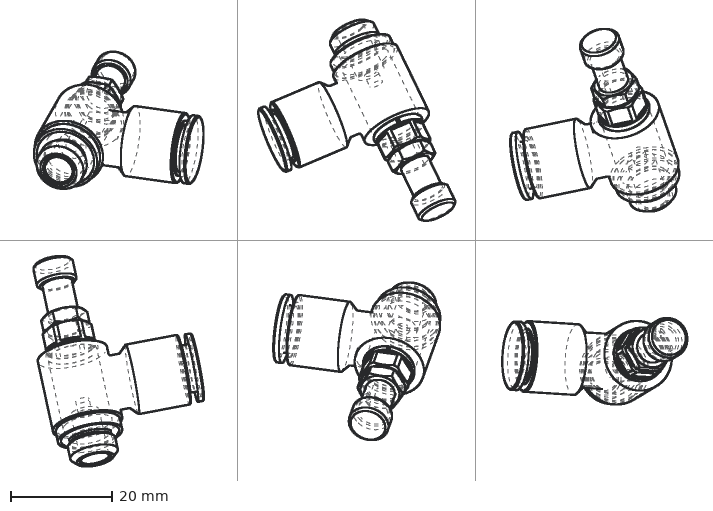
import cadquery as cq
import math


sleeve_radius = 7.0
sleeve_half_length = 7.5
stem_radius = 4.95
branch_blend = 0.5

branch_neck_radius = 5.5
socket_radius = sleeve_radius
socket_start = 10.5
cone_angle = math.radians(45)
neck_end = socket_start - (socket_radius - branch_neck_radius) / math.tan(cone_angle)
socket_end = 21.0
socket_chamfer = 0.25
lip_radius = 5.55
lip_end = 21.15
collet_neck_radius = 4.75
collet_start = 22.47
collet_end = 23.7
collet_radius = 6.8
collet_chamfer = 0.25
collet_fillet = 0.2

flange_radius = 6.5
flange_end = -9.95
flange_chamfer = 0.25
seal_section_radius = 0.9
seal_end = -10.6
thread_neck_radius = 4.2
thread_neck_end = -10.85
thread_radius = 4.8
thread_end = -15.05
thread_tip_radius = 3.7

mouth_radius = 3.15
mouth_depth = 0.2
bore_radius = 2.85
bore_depth = 10.15
orifice_radius = 1.35
orifice_depth = 2.55

ring_section_radius = 0.55
groove_radius = 4.7
groove_top = 8.7
ring_gap_width = 0.5

hex_start = 9.2
hex_top = 13.1
hex_across_flats = 9.0
hex_chamfer_radius = 4.3
nut_top = 16.1
nut_across_flats = 8.05
nut_chamfer_radius = 3.93
hex_chamfer_angle = math.radians(30)
flat_half_angle = math.pi / 6

spindle_radius = 3.0
knob_radius = 4.0
knob_start = 22.73
knob_top = 27.2
knob_chamfer = 0.5


def cylinder_y(radius, start, end):
    """Cylinder about the Y axis between two Y positions."""
    return cq.Workplane("XZ", origin=(0, start, 0)).circle(radius).extrude(start - end)


def cylinder_x(radius, start, end):
    """Cylinder about the X axis between two X positions."""
    return cq.Workplane("YZ", origin=(start, 0, 0)).circle(radius).extrude(end - start)


def hexagon(across_flats, start, end):
    """Hexagonal prism along Y with two flats facing up and down."""
    across_corners = across_flats / math.cos(flat_half_angle)
    return cq.Workplane("XZ", origin=(0, start, 0)).polygon(6, across_corners).extrude(start - end)


def chamfer_drop(outer_radius, face_radius):
    """Axial height of a hexagon chamfer between two radii."""
    return (outer_radius - face_radius) * math.tan(hex_chamfer_angle)


def sleeve_with_neck():
    """Sleeve joined to the plain start of the branch by a fillet."""
    sleeve = cylinder_y(sleeve_radius, -sleeve_half_length, sleeve_half_length)
    neck = cylinder_x(branch_neck_radius, 0, neck_end)
    joint_box = cq.selectors.BoxSelector(
        (0.42, -sleeve_radius, -sleeve_radius),
        (sleeve_radius + 0.42, sleeve_radius, sleeve_radius),
        boundingbox=True,
    )
    return sleeve.union(neck).edges(joint_box).fillet(branch_blend)


def tube_socket():
    """Solid of revolution from the neck to the free face of the release collet."""
    bend_start = neck_end - branch_blend * math.tan(cone_angle / 2)
    bend_run = branch_blend * math.sin(cone_angle)
    bend_rise = branch_blend * (1 - math.cos(cone_angle))
    return (
        cq.Workplane("XY")
        .moveTo(bend_start, 0)
        .lineTo(bend_start, branch_neck_radius)
        .radiusArc((bend_start + bend_run, branch_neck_radius + bend_rise), -branch_blend)
        .lineTo(socket_start, socket_radius)
        .lineTo(socket_end - socket_chamfer, socket_radius)
        .lineTo(socket_end, socket_radius - socket_chamfer)
        .lineTo(socket_end, lip_radius)
        .lineTo(lip_end, lip_radius)
        .lineTo(lip_end, collet_neck_radius)
        .lineTo(collet_start - collet_fillet, collet_neck_radius)
        .radiusArc((collet_start, collet_neck_radius + collet_fillet), -collet_fillet)
        .lineTo(collet_start, collet_radius)
        .lineTo(collet_end - collet_chamfer, collet_radius)
        .lineTo(collet_end, collet_radius - collet_chamfer)
        .lineTo(collet_end, 0)
        .close()
        .revolve(360, (0, 0, 0), (1, 0, 0))
    )


def make_housing():
    """Swivel housing: sleeve with its side branch, bored through for the stem."""
    stem_hole = cylinder_y(stem_radius, -sleeve_half_length, sleeve_half_length)
    return sleeve_with_neck().union(tube_socket()).cut(stem_hole)


def turned_stem():
    """Solid of revolution that holds every round stretch of the stem, from the knob to the thread."""
    nut_corner_radius = nut_across_flats / 2 / math.cos(flat_half_angle)
    nut_drop = chamfer_drop(nut_corner_radius, nut_chamfer_radius)
    hex_drop = chamfer_drop(stem_radius, hex_chamfer_radius)

    ring_middle = sleeve_half_length + ring_section_radius
    ring_foot = ring_middle - math.sqrt(ring_section_radius**2 - (stem_radius - groove_radius) ** 2)

    seal_middle = seal_end + seal_section_radius
    seal_half_chord = math.sqrt(seal_section_radius**2 - (seal_middle - flange_end) ** 2)
    seal_centre_radius = thread_neck_radius + seal_half_chord

    thread_start = thread_neck_end - (thread_radius - thread_neck_radius)
    tip_chamfer = thread_radius - thread_tip_radius

    return (
        cq.Workplane("XY")
        .moveTo(0, knob_top)
        .lineTo(knob_radius - knob_chamfer, knob_top)
        .lineTo(knob_radius, knob_top - knob_chamfer)
        .lineTo(knob_radius, knob_start + knob_chamfer)
        .lineTo(knob_radius - knob_chamfer, knob_start)
        .lineTo(spindle_radius, knob_start)
        .lineTo(spindle_radius, nut_top)
        .lineTo(nut_chamfer_radius, nut_top)
        .lineTo(nut_corner_radius, nut_top - nut_drop)
        .lineTo(nut_corner_radius, hex_top + nut_drop)
        .lineTo(nut_chamfer_radius, hex_top)
        .lineTo(hex_chamfer_radius, hex_top)
        .lineTo(stem_radius, hex_top - hex_drop)
        .lineTo(stem_radius, groove_top)
        .lineTo(groove_radius, groove_top)
        .lineTo(groove_radius, ring_middle + ring_section_radius)
        .threePointArc((groove_radius + ring_section_radius, ring_middle), (stem_radius, ring_foot))
        .lineTo(stem_radius, -sleeve_half_length)
        .lineTo(flange_radius - flange_chamfer, -sleeve_half_length)
        .lineTo(flange_radius, -sleeve_half_length - flange_chamfer)
        .lineTo(flange_radius, flange_end)
        .lineTo(seal_centre_radius + seal_half_chord, flange_end)
        .threePointArc((seal_centre_radius, seal_end), (thread_neck_radius, flange_end))
        .lineTo(thread_neck_radius, thread_neck_end)
        .lineTo(thread_radius, thread_start)
        .lineTo(thread_radius, thread_end + tip_chamfer)
        .lineTo(thread_tip_radius, thread_end)
        .lineTo(0, thread_end)
        .close()
        .revolve(360, (0, 0, 0), (0, 1, 0))
    )


def outside_hexagon(across_flats, start, end):
    """Material to remove so that only a hexagon is left between two Y positions."""
    return cylinder_y(sleeve_radius, start, end).cut(hexagon(across_flats, start, end))


def ring_gap():
    """Opening that splits the retaining ring at its top, down to the groove floor."""
    slot = (
        cq.Workplane("XY")
        .box(ring_gap_width, groove_top - sleeve_half_length, sleeve_radius, centered=(True, False, False))
        .translate((0, sleeve_half_length, 0))
    )
    return slot.cut(cylinder_y(groove_radius, sleeve_half_length, groove_top))


def stem_bore():
    """Blind stepped bore that enters the stem from the thread end."""
    mouth_end = thread_end + mouth_depth
    bore_end = thread_end + bore_depth
    mouth = cylinder_y(mouth_radius, thread_end, mouth_end)
    bore = cylinder_y(bore_radius, mouth_end, bore_end)
    orifice = cylinder_y(orifice_radius, bore_end, bore_end + orifice_depth)
    return mouth.union(bore).union(orifice)


def make_stem():
    """Threaded stem with its ring, hexagons, spindle and knob."""
    return (
        turned_stem()
        .cut(outside_hexagon(nut_across_flats, hex_top, nut_top))
        .cut(outside_hexagon(hex_across_flats, hex_start, hex_top))
        .cut(ring_gap())
        .cut(stem_bore())
    )


housing = make_housing()
stem = make_stem()
result = cq.Compound.makeCompound([housing.solids().val(), stem.solids().val()])